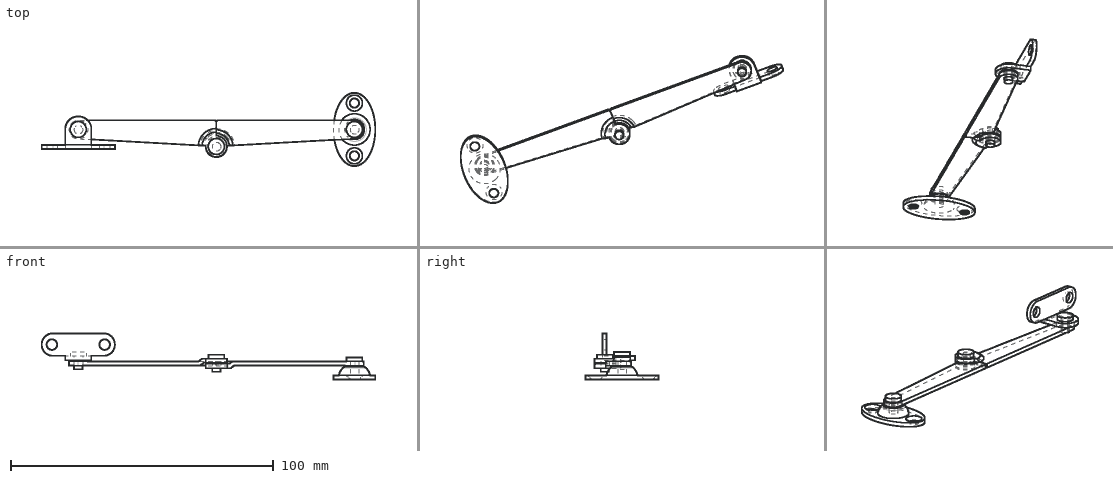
import cadquery as cq
import math


overall_length = 127.0
overall_height = 17.7
plate_thickness = 1.7
washer_thickness = 0.4
washer_radius = 3.5

base_length = 28.0
base_width = 16.0
dome_foot_radius = 6.0
dome_shoulder_radius = 4.5
dome_shoulder_height = 4.5
dome_top_radius = 3.8
dome_height = 5.0
dome_bulge = 0.19

screw_spacing = 20.1
base_hole_diameter = 3.4
countersink_diameter = 6.1
countersink_angle = 90
bracket_hole_diameter = 4.0

bracket_length = 28.0
tab_width = 10.0
bracket_front = -7.5

arm_end_radius = 3.5
arm_corner_chamfer = 0.5
knuckle_y = -6.5
eye_radius = 4.1
crank_outer_radius = 6.9
crank_inner_radius = 5.5

rivet_head_radius = 3.0
rivet_shank_radius = 1.7
rivet_head_height = 1.5
rivet_tail_length = 1.4

pivot_span = (overall_length - bracket_length / 2 - base_width / 2) / 2
arm_bottom = dome_height + washer_thickness
arm_top = arm_bottom + plate_thickness
arm_middle = (arm_bottom + arm_top) / 2
eye_bottom = arm_middle + washer_thickness / 2
eye_top = eye_bottom + plate_thickness
tab_bottom = arm_top + washer_thickness
tab_top = tab_bottom + plate_thickness
crank_rise = eye_bottom - arm_bottom
crank_angle = math.atan2(crank_rise, crank_outer_radius - crank_inner_radius)
crank_shift = plate_thickness * math.tan(crank_angle / 2)
rivet_shank_length = 2 * plate_thickness + washer_thickness + rivet_tail_length

rivet_places = [
    (-pivot_span, 0, tab_top),
    (0, knuckle_y, eye_top),
    (pivot_span, 0, arm_top),
]
washer_places = [
    (-pivot_span, 0, arm_top),
    (0, knuckle_y, arm_middle - washer_thickness / 2),
    (pivot_span, 0, dome_height),
]


def cylinder(radius, bottom, height, x=0, y=0):
    return cq.Workplane("XY", origin=(x, y, bottom)).circle(radius).extrude(height)


def make_rivet(x, y, seat):
    head = cylinder(rivet_head_radius, seat, rivet_head_height, x, y)
    shank = cylinder(rivet_shank_radius, seat, -rivet_shank_length, x, y)
    return head.union(shank)


def make_washer(x, y, bottom):
    bore = cylinder(rivet_shank_radius, bottom, washer_thickness, x, y)
    return cylinder(washer_radius, bottom, washer_thickness, x, y).cut(bore)


def make_base():
    plate = (
        cq.Workplane("XY")
        .ellipse(base_width / 2, base_length / 2)
        .extrude(plate_thickness)
        .faces(">Z").workplane()
        .rarray(1.3, screw_spacing, 1, 2)
        .cskHole(base_hole_diameter, countersink_diameter, countersink_angle)
    )
    flank_middle = (
        (dome_foot_radius + dome_shoulder_radius) / 2 + dome_bulge,
        (plate_thickness + dome_shoulder_height) / 2 + dome_bulge,
    )
    dome = (
        cq.Workplane("XZ")
        .lineTo(dome_foot_radius, 0)
        .lineTo(dome_foot_radius, plate_thickness)
        .threePointArc(flank_middle, (dome_shoulder_radius, dome_shoulder_height))
        .lineTo(dome_top_radius, dome_height)
        .lineTo(0, dome_height)
        .close()
        .revolve(360, (0, 0, 0), (0, 1, 0))
    )
    rivet_hole = cylinder(rivet_shank_radius, arm_top, -rivet_shank_length)
    return plate.union(dome).cut(rivet_hole).translate((pivot_span, 0, 0))


def make_bracket():
    wall_height = overall_height - tab_top
    wall_back = bracket_front + plate_thickness
    hinge_tab = (
        cq.Workplane("XY", origin=(0, 0, tab_bottom))
        .moveTo(-tab_width / 2, bracket_front)
        .lineTo(tab_width / 2, bracket_front)
        .lineTo(tab_width / 2, 0)
        .threePointArc((0, tab_width / 2), (-tab_width / 2, 0))
        .close()
        .extrude(plate_thickness)
    )
    wall_middle = tab_top + wall_height / 2
    wall = (
        cq.Workplane("XZ", origin=(0, wall_back, wall_middle))
        .slot2D(bracket_length, wall_height)
        .extrude(plate_thickness)
    )
    screw_holes = (
        cq.Workplane("XZ", origin=(0, wall_back, wall_middle))
        .rarray(screw_spacing, 1.3, 2, 1)
        .circle(bracket_hole_diameter / 2)
        .extrude(plate_thickness)
    )
    rivet_hole = cylinder(rivet_shank_radius, tab_bottom, plate_thickness)
    return hinge_tab.union(wall).cut(screw_holes).cut(rivet_hole).translate((-pivot_span, 0, 0))


def make_arm():
    """Arm from the bracket pivot to the knuckle, its knuckle end cranked upwards around the eye."""
    edge_angle = math.atan2(-knuckle_y, pivot_span)
    centre_distance = math.hypot(pivot_span, knuckle_y)
    tangent_angle = -edge_angle - math.acos(arm_end_radius / centre_distance)
    tangent_point = (
        -pivot_span + arm_end_radius * math.cos(tangent_angle),
        arm_end_radius * math.sin(tangent_angle),
    )
    outline = (
        cq.Workplane("XY", origin=(0, 0, arm_bottom))
        .moveTo(0, knuckle_y)
        .lineTo(0, arm_end_radius - arm_corner_chamfer)
        .lineTo(-arm_corner_chamfer, arm_end_radius)
        .lineTo(-pivot_span, arm_end_radius)
        .threePointArc((-pivot_span - arm_end_radius, 0), tangent_point)
        .close()
        .extrude(eye_top - arm_bottom)
    )
    reach = 2 * pivot_span
    cranked_sheet = (
        cq.Workplane("XZ", origin=(0, knuckle_y, 0))
        .moveTo(0, eye_bottom)
        .lineTo(crank_inner_radius - crank_shift, eye_bottom)
        .lineTo(crank_outer_radius - crank_shift, arm_bottom)
        .lineTo(reach, arm_bottom)
        .lineTo(reach, arm_top)
        .lineTo(crank_outer_radius, arm_top)
        .lineTo(crank_inner_radius, eye_top)
        .lineTo(0, eye_top)
        .close()
        .revolve(360, (0, 0, 0), (0, 1, 0))
    )
    eye = cylinder(eye_radius, eye_bottom, plate_thickness, 0, knuckle_y)
    knuckle_hole = cylinder(rivet_shank_radius, eye_bottom, plate_thickness, 0, knuckle_y)
    end_hole = cylinder(rivet_shank_radius, arm_bottom, plate_thickness, -pivot_span)
    return outline.intersect(cranked_sheet).union(eye).cut(knuckle_hole).cut(end_hole)


base = make_base()
bracket = make_bracket()
bracket_arm = make_arm()
base_arm = make_arm().rotate((0, 0, arm_middle), (0, 1, arm_middle), 180)
rivets = [make_rivet(*place).val() for place in rivet_places]
washers = [make_washer(*place).val() for place in washer_places]

result = cq.Compound.makeCompound(
    [base.val(), bracket.val(), bracket_arm.val(), base_arm.val(), *rivets, *washers]
)